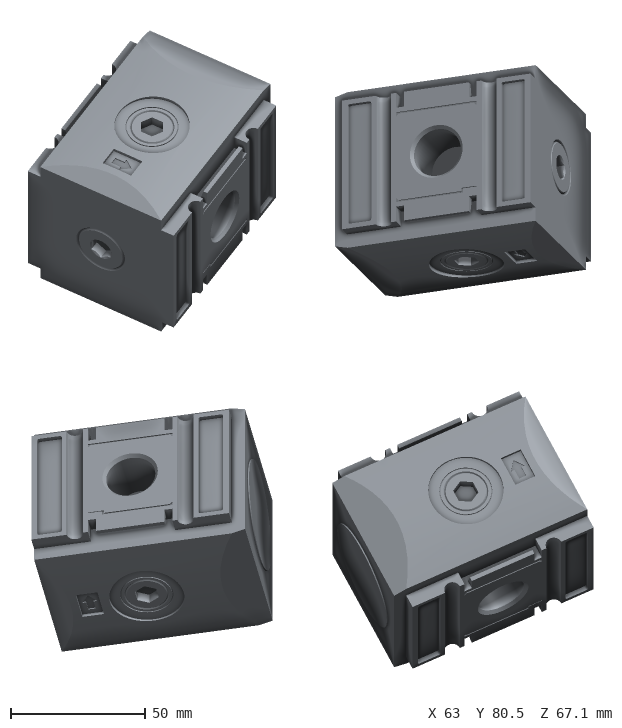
import cadquery as cq
import math

body_width = 52.2
body_length = 75.0
body_height = 67.13
side_height = 62.4
end_slope = 15.0
cap_length = 5.0
rear_disc_diameter = 42.0
rear_disc_thickness = 0.5

half_width = body_width / 2
half_length = body_length / 2
half_height = body_height / 2
half_side = side_height / 2
crown_rise = half_height - half_side
slope_ratio = math.tan(math.radians(end_slope))

overall_width = 63.0
flange_height = 51.6
clamp_groove_radius = 3.05
clamp_groove_y = 21.0
flange_pocket_height = 47.9
flange_pocket_y_inner = 25.9
flange_pocket_y_outer = 35.25
flange_pocket_depth = 1.8
flange_pocket_corner = 0.8
half_flange = flange_height / 2
flange_face = overall_width / 2

recess_width = 32.0
recess_depth = 5.95
hook_width = 25.9
hook_tip = 1.65
hook_root = 3.25

plate_gap_height = 36.0
plate_height = 34.7
plate_gap_depth = 0.5
plate_corner_chamfer = 1.0
key_width = 5.4
key_height = 1.6
key_gap = 0.3
key_gap_side = 0.6

port_diameter = 18.63
port_chamfer_diameter = 21.0
port_depth = 20.0

hex_across_flats = 8.15
hex_depth = 4.0
front_socket_diameter = 9.4
countersink_depth = 0.7
countersink_taper = 45.0
front_groove = (21.1, 19.8, 18.63)
crown_groove = (16.7, 15.9, 15.0)
seal_ring_outer = 19.8
seal_ring_inner = 19.0
seal_ring_depth = 0.5

seat_diameter = 28.0
seat_floor = 32.2
sign_length = 12.3
sign_width = 8.2
sign_y = -21.6
arrow_length = 7.8
arrow_head_length = 3.8
arrow_head_width = 5.6
arrow_shaft_width = 2.8
arrow_depth = 0.5


def box(x_range, y_range, z_range):
    """Block between two coordinates along each axis."""
    size = [high - low for low, high in (x_range, y_range, z_range)]
    corner = (x_range[0], y_range[0], z_range[0])
    return cq.Workplane("XY").box(*size, centered=False).translate(corner)


def make_body():
    """Crowned block with sloping ends, rear cap included."""
    rear = half_length + cap_length
    crowned = (
        cq.Workplane("XZ", origin=(0, -half_length, 0))
        .moveTo(-half_width, -half_side)
        .threePointArc((0, -half_height), (half_width, -half_side))
        .lineTo(half_width, half_side)
        .threePointArc((0, half_height), (-half_width, half_side))
        .close()
        .extrude(-(rear + half_length))
    )
    peak = half_height + crown_rise
    slope_run = (peak - half_side) / slope_ratio
    rear_height = half_side - cap_length * slope_ratio
    upper = [
        (-half_length, half_side),
        (-half_length + slope_run, peak),
        (half_length - slope_run, peak),
        (rear, rear_height),
    ]
    lower = [(y, -z) for y, z in reversed(upper)]
    sloped = cq.Workplane("YZ").polyline(upper + lower).close().extrude(half_width, both=True)
    disc = (
        cq.Workplane("XZ", origin=(0, rear, 0))
        .circle(rear_disc_diameter / 2)
        .extrude(-rear_disc_thickness)
    )
    return crowned.intersect(sloped).union(disc)


def hook_clearance():
    """Recess at the top of the right flange, less the hook that stands in it."""
    floor = half_flange - recess_depth
    recess = box(
        (half_width, flange_face), (-recess_width / 2, recess_width / 2), (floor, half_flange)
    )
    hook = (
        cq.Workplane("XZ", origin=(0, hook_width / 2, 0))
        .polyline([
            (flange_face, floor),
            (flange_face, half_flange),
            (flange_face - hook_tip, half_flange),
            (flange_face - hook_root, floor),
        ])
        .close()
        .extrude(hook_width)
    )
    return recess.cut(hook)


def plate_gap():
    """Shallow gap above and below the seal plate on the right flange."""
    face = cq.Workplane("YZ", origin=(flange_face - plate_gap_depth, 0, 0))
    half_recess = recess_width / 2
    outer = face.rect(recess_width, plate_gap_height).extrude(plate_gap_depth)
    plate = (
        face.rect(recess_width, plate_height)
        .extrude(plate_gap_depth)
        .edges("|X")
        .chamfer(plate_corner_chamfer)
    )
    key_top = -plate_gap_height / 2 + key_height
    depth_range = (flange_face - plate_gap_depth, flange_face)
    key = box(depth_range, (-half_recess, key_width - half_recess), (-plate_gap_height / 2, key_top))
    plate_notch = box(
        depth_range,
        (-half_recess, key_width - half_recess + key_gap_side),
        (-plate_gap_height / 2, key_top + key_gap),
    )
    return outer.cut(key).cut(plate.cut(plate_notch))


def port_cutter():
    """Blind side port with a chamfered mouth, opening to the right."""
    mouth_radius = port_chamfer_diameter / 2
    bore_radius = port_diameter / 2
    chamfer = mouth_radius - bore_radius
    return (
        cq.Workplane("XY")
        .moveTo(flange_face, 0)
        .lineTo(flange_face, mouth_radius)
        .lineTo(flange_face - chamfer, bore_radius)
        .lineTo(flange_face - port_depth, bore_radius)
        .lineTo(flange_face - port_depth, 0)
        .close()
        .revolve(360, (0, 0, 0), (1, 0, 0))
    )


def make_flange():
    """Right flange with clamp grooves, pockets, hooks and seal plate."""
    flange = box(
        (half_width, flange_face), (-half_length, half_length), (-half_flange, half_flange)
    )
    pocket_width = flange_pocket_y_outer - flange_pocket_y_inner
    pocket_y = (flange_pocket_y_outer + flange_pocket_y_inner) / 2
    for side in (-1, 1):
        groove = (
            cq.Workplane("XY")
            .center(flange_face, side * clamp_groove_y)
            .circle(clamp_groove_radius)
            .extrude(half_flange, both=True)
        )
        pocket = (
            cq.Workplane("YZ", origin=(flange_face, side * pocket_y, 0))
            .rect(pocket_width, flange_pocket_height)
            .extrude(-flange_pocket_depth)
            .edges("|X")
            .fillet(flange_pocket_corner)
        )
        flange = flange.cut(groove).cut(pocket)
    clearance = hook_clearance()
    flange = flange.cut(clearance).cut(clearance.mirror("XY"))
    return flange.cut(plate_gap())


def v_groove(diameters):
    """Ring of V section cut down from Z = 0, where a plug meets its hole."""
    outer, bottom, inner = [diameter / 2 for diameter in diameters]
    depth = outer - bottom
    return (
        cq.Workplane("XZ")
        .polyline([(outer, 0), (bottom, -depth), (inner, 0)])
        .close()
        .revolve(360, (0, 0, 0), (0, 1, 0))
    )


def hex_socket():
    """Hexagon socket cut down from Z = 0, two corners on the X axis."""
    across_corners = hex_across_flats / math.cos(math.radians(30))
    return cq.Workplane("XY").polygon(6, across_corners).extrude(-hex_depth)


def front_plug_cutter():
    """Flush plug in the front face: V groove and countersunk hexagon socket."""
    socket_radius = front_socket_diameter / 2
    countersink = (
        cq.Workplane("XY").circle(socket_radius).extrude(-countersink_depth, taper=countersink_taper)
    )
    socket = hex_socket().rotate((0, 0, 0), (0, 0, 1), 90).union(countersink)
    cutter = v_groove(front_groove).union(socket)
    return cutter.rotate((0, 0, 0), (1, 0, 0), 90).translate((0, -half_length, 0))


def crown_cutter():
    """Round seat with its plug, and the sunken arrow sign, in the upper crown."""
    seat_depth = half_height - seat_floor
    seat = cq.Workplane("XY").circle(seat_diameter / 2).extrude(seat_depth)
    ring = (
        cq.Workplane("XY")
        .circle(seal_ring_outer / 2)
        .circle(seal_ring_inner / 2)
        .extrude(-seal_ring_depth)
    )
    sign = cq.Workplane("XY").center(0, sign_y).rect(sign_length, sign_width).extrude(seat_depth)
    tail = -arrow_length / 2
    tip = arrow_length / 2
    head = tip - arrow_head_length
    arrow = (
        cq.Workplane("XY")
        .center(0, sign_y)
        .polyline([
            (tail, -arrow_shaft_width / 2),
            (head, -arrow_shaft_width / 2),
            (head, -arrow_head_width / 2),
            (tip, 0),
            (head, arrow_head_width / 2),
            (head, arrow_shaft_width / 2),
            (tail, arrow_shaft_width / 2),
        ])
        .close()
        .extrude(-arrow_depth)
    )
    cutter = seat.union(ring).union(v_groove(crown_groove)).union(hex_socket())
    return cutter.union(sign).union(arrow).translate((0, 0, seat_floor))


result = make_body()

right_flange = make_flange()
result = result.union(right_flange).union(right_flange.mirror("YZ"))

right_port = port_cutter()
result = result.cut(right_port).cut(right_port.mirror("YZ"))

upper_cutter = crown_cutter()
result = result.cut(upper_cutter).cut(upper_cutter.mirror("XY"))

result = result.cut(front_plug_cutter())